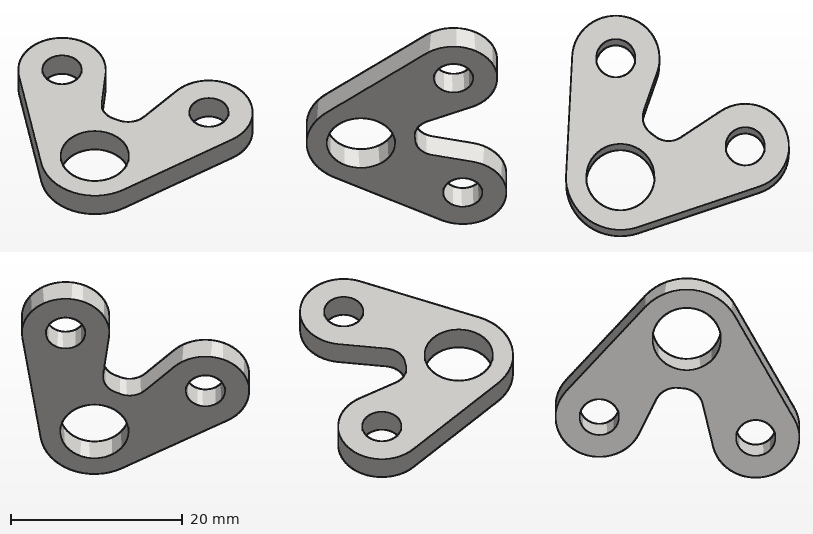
import cadquery as cq
import math

width = 25.5
length = 26.4
thickness = 3.17

pivot_radius = 6.35
pivot_hole_diameter = 7.95
end_radius = 5.1
end_hole_diameter = 4.57
crotch_fillet = 2.5

left_end = (pivot_radius + end_radius - width, 2.3)
upper_end = (-0.75, length - pivot_radius - end_radius)


def polar(center, radius, angle):
    """Point at a radius and angle from a center."""
    return (center[0] + radius * math.cos(angle), center[1] + radius * math.sin(angle))


def disc(center, radius):
    return cq.Workplane("XY").center(*center).circle(radius).extrude(thickness)


def inner_edge_angle(end, inner_side):
    """Direction of the line from the pivot center tangent to the inner side of an end."""
    spread = math.asin(end_radius / math.hypot(*end))
    return math.atan2(end[1], end[0]) + inner_side * spread


def arm(end, inner_side):
    """Arm to a rounded end; inner_side is +1 if the crotch is counterclockwise of the arm."""
    distance = math.hypot(*end)
    direction = math.atan2(end[1], end[0])
    outer_normal = direction - inner_side * math.acos((pivot_radius - end_radius) / distance)
    inner_normal = inner_edge_angle(end, inner_side) + inner_side * math.pi / 2
    web = (
        cq.Workplane("XY")
        .polyline([
            (0, 0),
            polar((0, 0), pivot_radius, outer_normal),
            polar(end, end_radius, outer_normal),
            end,
            polar(end, end_radius, inner_normal),
        ])
        .close()
        .extrude(thickness)
    )
    return web.union(disc(end, end_radius))


arms = [(left_end, -1), (upper_end, 1)]

plate = disc((0, 0), pivot_radius)
for end, inner_side in arms:
    plate = plate.union(arm(end, inner_side))
plate = plate.clean()

for end, inner_side in arms:
    corner = polar((0, 0), pivot_radius, inner_edge_angle(end, inner_side))
    corner_edge = cq.selectors.NearestToPointSelector((*corner, thickness / 2))
    plate = plate.edges("|Z").edges(corner_edge).fillet(crotch_fillet)

plate = plate.cut(disc((0, 0), pivot_hole_diameter / 2))
for end, _ in arms:
    plate = plate.cut(disc(end, end_hole_diameter / 2))

result = plate